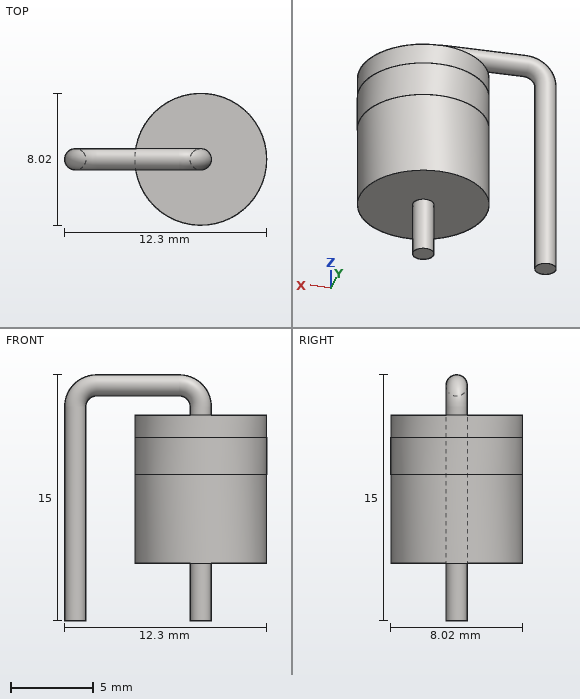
import cadquery as cq

body_diameter = 8.0
body_height = 9.0
band_diameter = 8.02
band_height = 2.25
band_top_gap = 1.35

wire_diameter = 1.3
bend_radius = wire_diameter
lead_pitch = 7.62
lead_length_below = 3.5
wire_top_above_body = 2.45

wire_radius = wire_diameter / 2
lead_bottom = -lead_length_below
span_height = body_height + wire_top_above_body - wire_radius
bend_start_height = span_height - bend_radius


def make_body():
    """Cylindrical body with its raised polarity band."""
    body = cq.Workplane("XY").circle(body_diameter / 2).extrude(body_height)
    band_bottom = body_height - band_top_gap - band_height
    band = (
        cq.Workplane("XY")
        .workplane(offset=band_bottom)
        .circle(band_diameter / 2)
        .extrude(band_height)
    )
    return body.union(band)


def make_lead():
    """Round wire through the body axis, bent over into the outer leg."""
    path = (
        cq.Workplane("XZ")
        .moveTo(0, lead_bottom)
        .lineTo(0, bend_start_height)
        .tangentArcPoint((-bend_radius, span_height), relative=False)
        .lineTo(-lead_pitch + bend_radius, span_height)
        .tangentArcPoint((-lead_pitch, bend_start_height), relative=False)
        .lineTo(-lead_pitch, lead_bottom)
    )
    section = cq.Workplane("XY").workplane(offset=lead_bottom).circle(wire_radius)
    return section.sweep(path)


result = make_body().union(make_lead())